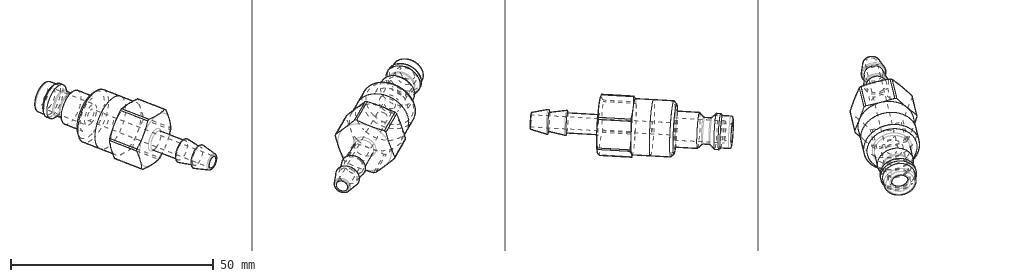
import cadquery as cq
import math

SHOULDER_X = 14.1
SEAM_X = 19.9
HEX_START_X = 24.45
HEX_END_X = 33.0
BARB_STARTS_X = (41.0, 45.55)
TOTAL_LENGTH = 50.0

TIP_DIAMETER = 8.1
TIP_ROUND = 0.5
NOSE_DIAMETER = 9.0
RIDGE_START_X = 2.6
RIDGE_END_X = 4.1
GROOVE_DIAMETER = 6.65
GROOVE_END_X = 8.35
GROOVE_ROUND = 0.45
ROOT_ROUND = 0.45

BODY_DIAMETER = 14.0
BODY_CHAMFER = 0.75
HEX_ACROSS_FLATS = BODY_DIAMETER
HEX_CORNER_DIAMETER = 15.85
HEX_CORNER_ANGLE = 48.3
HEX_FRONT_CHAMFER = 0.2
HEX_REAR_CHAMFER = 0.3

STEM_DIAMETER = 5.05
BARB_DIAMETER = 6.35
BARB_ROUND = 0.25
FIRST_BARB_END_DIAMETER = 4.75
OUTLET_DIAMETER = 4.2
OUTLET_ROUND = 0.3

PASSAGE_DIAMETER = 3.0
INLET_DIAMETER = 4.2
INLET_LENGTH = 1.8
INLET_ROUND = 0.5
CHAMBER_DIAMETER = 5.5
CHAMBER_END_X = SHOULDER_X


def revolve_outline(points):
    """Revolve a closed (x, radius) outline about the X axis."""
    return cq.Workplane("XY").polyline(points).close().revolve(360, (0, 0, 0), (1, 0, 0))


def cylinder(diameter, start_x, end_x):
    """Solid cylinder lying along the X axis."""
    return cq.Workplane("YZ", origin=(start_x, 0, 0)).circle(diameter / 2).extrude(end_x - start_x)


def round_circle(body, x, diameter, radius):
    """Fillet the circular edge found at one station and diameter."""
    margin = 0.005
    reach = diameter / 2 + margin
    box = cq.selectors.BoxSelector((x - margin, -reach, -reach), (x + margin, reach, reach), boundingbox=True)
    edges = body.edges(box).edges(cq.selectors.RadiusNthSelector(-1))
    return body.newObject(edges.vals()).fillet(radius)


def make_plug():
    """Plug half: ridged nose, locking groove, front of the body and rounded inlet to a wider chamber."""
    tip, nose = TIP_DIAMETER / 2, NOSE_DIAMETER / 2
    groove, body = GROOVE_DIAMETER / 2, BODY_DIAMETER / 2
    ridge_rise = nose - tip
    groove_drop = nose - groove
    groove_floor_start = RIDGE_END_X + groove_drop
    groove_floor_end = GROOVE_END_X - groove_drop
    plug = revolve_outline([
        (0, 0),
        (0, tip),
        (RIDGE_START_X, tip),
        (RIDGE_START_X + ridge_rise, nose),
        (RIDGE_END_X, nose),
        (groove_floor_start, groove),
        (groove_floor_end, groove),
        (GROOVE_END_X, nose),
        (SHOULDER_X, nose),
        (SHOULDER_X, body - BODY_CHAMFER),
        (SHOULDER_X + BODY_CHAMFER, body),
        (SEAM_X, body),
        (SEAM_X, 0),
    ])
    plug = round_circle(plug, 0, TIP_DIAMETER, TIP_ROUND)
    plug = round_circle(plug, groove_floor_start, GROOVE_DIAMETER, GROOVE_ROUND)
    plug = round_circle(plug, groove_floor_end, GROOVE_DIAMETER, GROOVE_ROUND)
    plug = round_circle(plug, SHOULDER_X, NOSE_DIAMETER, ROOT_ROUND)

    plug = plug.cut(cylinder(CHAMBER_DIAMETER, INLET_LENGTH, CHAMBER_END_X))
    plug = plug.cut(cylinder(INLET_DIAMETER, 0, INLET_LENGTH))
    for lip_x in (0, INLET_LENGTH):
        plug = round_circle(plug, lip_x, INLET_DIAMETER, INLET_ROUND)
    return plug.cut(cylinder(PASSAGE_DIAMETER, 0, SEAM_X))


def make_hexagon():
    """Hexagon with turned-off corners and a conical chamfer at each end."""
    prism = (
        cq.Workplane("YZ", origin=(HEX_START_X, 0, 0))
        .polygon(6, HEX_ACROSS_FLATS / math.cos(math.radians(30)))
        .extrude(HEX_END_X - HEX_START_X)
        .rotate((0, 0, 0), (1, 0, 0), HEX_CORNER_ANGLE)
    )
    flat, corner = HEX_ACROSS_FLATS / 2, HEX_CORNER_DIAMETER / 2
    envelope = revolve_outline([
        (HEX_START_X, 0),
        (HEX_START_X, flat),
        (HEX_START_X + HEX_FRONT_CHAMFER, corner),
        (HEX_END_X - HEX_REAR_CHAMFER, corner),
        (HEX_END_X, flat),
        (HEX_END_X, 0),
    ])
    return prism.intersect(envelope)


def make_stem():
    """Hose stem with two tapered barbs and rounded edges."""
    stem_radius, barb = STEM_DIAMETER / 2, BARB_DIAMETER / 2
    first_barb_x, second_barb_x = BARB_STARTS_X
    stem = revolve_outline([
        (HEX_END_X, 0),
        (HEX_END_X, stem_radius),
        (first_barb_x, stem_radius),
        (first_barb_x, barb),
        (second_barb_x, FIRST_BARB_END_DIAMETER / 2),
        (second_barb_x, barb),
        (TOTAL_LENGTH, OUTLET_DIAMETER / 2),
        (TOTAL_LENGTH, 0),
    ])
    for barb_x in BARB_STARTS_X:
        stem = round_circle(stem, barb_x, BARB_DIAMETER, BARB_ROUND)
    return round_circle(stem, TOTAL_LENGTH, OUTLET_DIAMETER, OUTLET_ROUND)


def make_hose_fitting():
    """Hose half: rear of the body, hexagon and barbed stem."""
    body = cylinder(BODY_DIAMETER, SEAM_X, HEX_START_X)
    fitting = body.union(make_hexagon()).union(make_stem())
    root_edge = fitting.edges(cq.selectors.BoxSelector(
        (HEX_END_X - ROOT_ROUND, -STEM_DIAMETER, -STEM_DIAMETER),
        (HEX_END_X + ROOT_ROUND, STEM_DIAMETER, STEM_DIAMETER),
        boundingbox=True,
    ))
    fitting = fitting.newObject(root_edge.vals()).fillet(ROOT_ROUND)
    return fitting.cut(cylinder(PASSAGE_DIAMETER, SEAM_X, TOTAL_LENGTH))


plug = make_plug()
hose_fitting = make_hose_fitting()

result = cq.Compound.makeCompound([plug.solids().val(), hose_fitting.solids().val()])